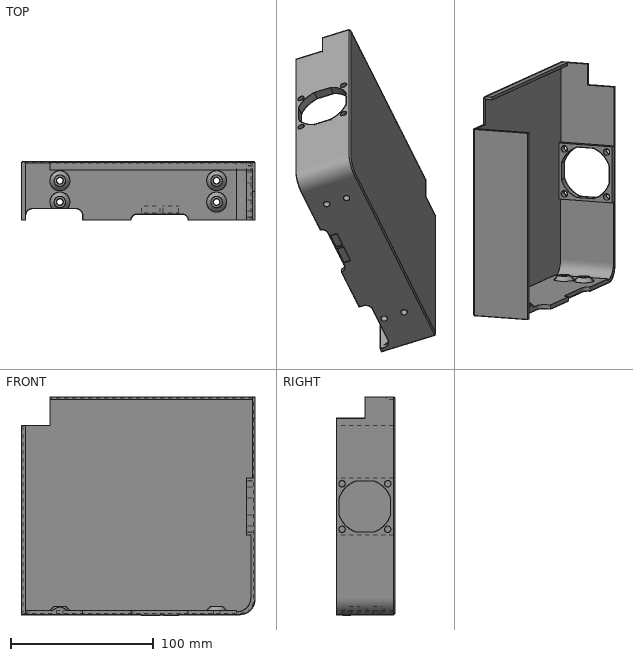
import cadquery as cq

length = 164.0
height = 153.0
cavity_depth = 40.0
back_thickness = 1.2
depth = cavity_depth + back_thickness
outer_corner_radius = 11.0
back_chamfer = 1.0

side_wall = 3.0
rim_wall = 2.0

inner_corner_radius = 10.0
inner_corner_x = length - side_wall - inner_corner_radius
inner_corner_z = rim_wall + inner_corner_radius

notch_size = 20.0
lip_depth = 5.0
wall_step_depth = 20.0
wall_step_height = 15.0

fan_size = 40.0
fan_bottom = 56.0
fan_pad_thickness = 6.0
fan_opening_diameter = 38.0
fan_opening_width = 36.0
fan_screw_pitch = 32.0
fan_screw_diameter = 4.5
fan_top = fan_bottom + fan_size
fan_center_y = fan_size / 2
fan_center_z = fan_bottom + fan_size / 2

boss_base_diameter = 14.0
boss_top_diameter = 8.0
boss_height = 3.0
boss_hole_diameter = 4.5
boss_xs = (27.0, 137.0)
boss_ys = (12.6, 27.6)

cutout_width = 40.0
left_cutout = (side_wall, 8.0, 5.0)
middle_cutout = (77.0, 4.0, 4.0)

strip_height = 0.5
strip_front = 4.8
strip_depth = 5.0
strips = ((84.2, 13.2), (99.2, 10.9))


def box(x0, x1, y0, y1, z0, z1):
    """Axis-aligned box between the given limits."""
    return cq.Workplane("XY").box(x1 - x0, y1 - y0, z1 - z0, centered=False).translate((x0, y0, z0))


def make_shell():
    """Block with a rounded lower right corner, hollowed from the front."""
    block = box(0, length, 0, depth, 0, height)
    block = block.edges("|Y and >X and <Z").fillet(outer_corner_radius)
    block = block.faces(">Y").edges().chamfer(back_chamfer)

    right_face = length - side_wall
    cavity = (
        cq.Workplane("XZ")
        .moveTo(side_wall, side_wall)
        .lineTo(inner_corner_x, side_wall)
        .lineTo(inner_corner_x, rim_wall)
        .radiusArc((right_face, inner_corner_z), -inner_corner_radius)
        .lineTo(right_face, fan_top)
        .lineTo(length - rim_wall, fan_top)
        .lineTo(length - rim_wall, height - rim_wall)
        .lineTo(side_wall, height - rim_wall)
        .close()
        .extrude(-cavity_depth)
    )
    return block.cut(cavity)


def cut_upper_openings(body):
    """Open the top in front of the lip, notch the left corner and step the right wall."""
    body = body.cut(box(0, length - rim_wall, 0, cavity_depth - lip_depth, height - rim_wall, height))
    body = body.cut(box(0, notch_size, 0, depth, height - notch_size, height))
    return body.cut(box(length - rim_wall, length, 0, wall_step_depth, height - wall_step_height, height))


def add_fan_mount(body):
    """Square pad on the right wall with a flat-sided round opening and four screw holes."""
    pad_face = length - fan_pad_thickness
    body = body.union(box(pad_face, length, 0, fan_size, fan_bottom, fan_top))
    wall_plane = cq.Workplane("YZ", origin=(pad_face, fan_center_y, fan_center_z))
    opening = wall_plane.circle(fan_opening_diameter / 2).extrude(fan_pad_thickness)
    limits = wall_plane.rect(fan_opening_width, fan_opening_width).extrude(fan_pad_thickness)
    screws = (
        wall_plane.rect(fan_screw_pitch, fan_screw_pitch, forConstruction=True)
        .vertices()
        .circle(fan_screw_diameter / 2)
        .extrude(fan_pad_thickness)
    )
    return body.cut(opening.intersect(limits)).cut(screws)


def add_screw_bosses(body):
    """Four cones on the floor, each with a hole through the floor."""
    for x in boss_xs:
        for y in boss_ys:
            cone = cq.Solid.makeCone(
                boss_base_diameter / 2, boss_top_diameter / 2, boss_height, pnt=cq.Vector(x, y, side_wall)
            )
            hole = cq.Solid.makeCylinder(
                boss_hole_diameter / 2, side_wall + boss_height, pnt=cq.Vector(x, y, 0)
            )
            body = body.union(cone).cut(hole)
    return body


def cut_front_edge(body, left, cutout_depth, radius):
    """Cutout in the front edge of the floor with rounded inner corners."""
    top = side_wall + boss_height
    cutter = box(left, left + cutout_width, -radius, cutout_depth, 0, top)
    return body.cut(cutter.edges("|Z and >Y").fillet(radius))


def add_strips(body):
    """Low rectangular strips on the underside."""
    for left, width in strips:
        strip = box(left, left + width, strip_front, strip_front + strip_depth, -strip_height, 0)
        body = body.union(strip)
    return body


result = make_shell()
result = cut_upper_openings(result)
result = add_fan_mount(result)
result = add_screw_bosses(result)
result = cut_front_edge(result, *left_cutout)
result = cut_front_edge(result, *middle_cutout)
result = add_strips(result)